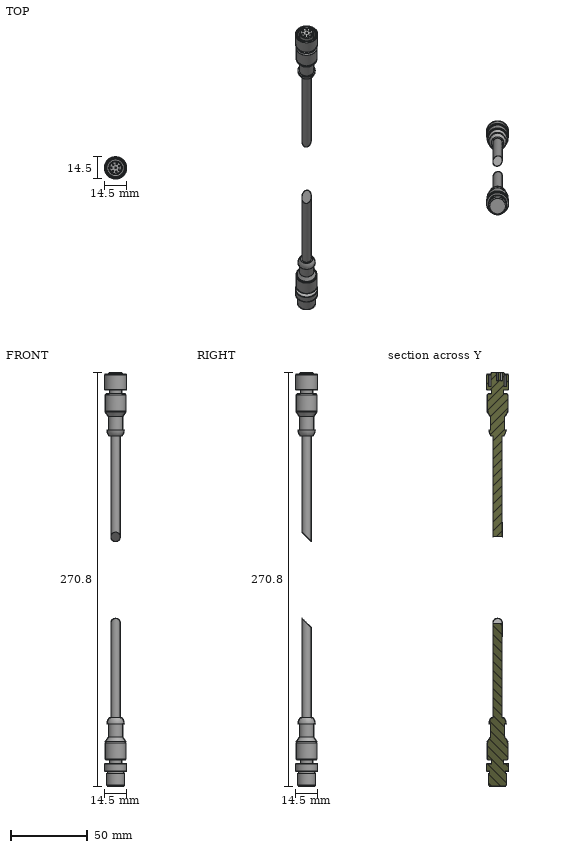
import cadquery as cq
import math

TOTAL_LENGTH = 270.8

CABLE_DIA = 6.2
SOCKET_CABLE_END = 110.8
PLUG_CABLE_END = 110.0

SOCKET_GRIP_START = 13.8
PLUG_GRIP_START = 17.0
NECK_DIA = 8.0
GRIP_DIA = 13.8
GRIP_LENGTH = 12.2
GRIP_CHAMFER = 0.8
SHOULDER_DIA = 13.5
SHOULDER_LENGTH = 3.0
SLEEVE_DIA = 9.5
COLLAR_OFFSET = 23.8
COLLAR_DIA = 11.5
COLLAR_LENGTH = 4.0
COLLAR_TAIL_DIA = 8.0

NUT_DIA = 14.5
NUT_START = 1.0
NUT_END = 11.6
NUT_CHAMFER = 0.5
NUT_BORE_DIA = 11.5
NUT_BORE_DEPTH = 8.0

INSERT_DIA = 9.0
INSERT_CHAMFER = 0.5
CONTACT_DIA = 1.0
CONTACT_DEPTH = 5.5
CONTACT_CIRCLE_DIA = 5.5
OUTER_CONTACTS = 7
FIRST_CONTACT_ANGLE = -76.0

RING_DIA = 14.5
RING_START = 9.7
RING_END = 15.0
RING_CHAMFER = 0.3
RELIEF_DIA = 10.8
RELIEF_LENGTH = 1.4
NOSE_DIA = 12.0
NOSE_CHAMFER = 0.8


def cylinder(dia, start, end):
    """Cylinder on the Z axis from `start` to `end`."""
    return cq.Workplane("XY").workplane(offset=start).circle(dia / 2).extrude(end - start)


def cable(start, end):
    """Cable from `start` to a 45 degree cut that is longest on the -Y side."""
    radius = CABLE_DIA / 2
    side_outline = (
        cq.Workplane("YZ")
        .moveTo(-radius, start)
        .lineTo(radius, start)
        .lineTo(radius, end - CABLE_DIA)
        .lineTo(-radius, end)
        .close()
    )
    return side_outline.extrude(radius, both=True).intersect(cylinder(CABLE_DIA, start, end))


def collar_arc_middle(start):
    """Middle of the collar's arc, which leaves the collar's front edge parallel to the axis."""
    depth = (COLLAR_DIA - COLLAR_TAIL_DIA) / 2
    arc_radius = (COLLAR_LENGTH**2 + depth**2) / (2 * depth)
    half_angle = math.asin(COLLAR_LENGTH / arc_radius) / 2
    return (
        COLLAR_DIA / 2 - arc_radius * (1 - math.cos(half_angle)),
        start + arc_radius * math.sin(half_angle),
    )


def rear_part(neck_start, grip_start, cable_end):
    """Neck, chamfered grip, conical shoulder, sleeve, rounded collar and cable."""
    grip_end = grip_start + GRIP_LENGTH
    collar_start = grip_start + COLLAR_OFFSET
    collar_end = collar_start + COLLAR_LENGTH
    core = (
        cq.Workplane("XZ")
        .moveTo(0, neck_start)
        .lineTo(NECK_DIA / 2, neck_start)
        .lineTo(NECK_DIA / 2, grip_end)
        .lineTo(SHOULDER_DIA / 2, grip_end)
        .lineTo(SLEEVE_DIA / 2, grip_end + SHOULDER_LENGTH)
        .lineTo(SLEEVE_DIA / 2, collar_start)
        .lineTo(COLLAR_DIA / 2, collar_start)
        .threePointArc(collar_arc_middle(collar_start), (COLLAR_TAIL_DIA / 2, collar_end))
        .lineTo(0, collar_end)
        .close()
        .revolve(360, (0, 0, 0), (0, 1, 0))
    )
    grip = cylinder(GRIP_DIA, grip_start, grip_end).faces("<Z or >Z").chamfer(GRIP_CHAMFER)
    return core.union(grip).union(cable(collar_end, cable_end))


def coupling_nut(bore_floor):
    """Nut with an open bore around the insert; all its end edges are chamfered."""
    return (
        cylinder(NUT_DIA, NUT_START, NUT_END)
        .cut(cylinder(NUT_BORE_DIA, NUT_START, bore_floor))
        .faces("<Z or >Z")
        .chamfer(NUT_CHAMFER)
    )


def contact_insert(bore_floor):
    """Chamfered insert with its contact holes."""
    angles = [
        math.radians(FIRST_CONTACT_ANGLE + i * 360 / OUTER_CONTACTS) for i in range(OUTER_CONTACTS)
    ]
    circle_radius = CONTACT_CIRCLE_DIA / 2
    places = [(0, 0)] + [(circle_radius * math.cos(a), circle_radius * math.sin(a)) for a in angles]
    holes = cq.Workplane("XY").pushPoints(places).circle(CONTACT_DIA / 2).extrude(CONTACT_DEPTH)
    return cylinder(INSERT_DIA, 0, bore_floor).faces("<Z").chamfer(INSERT_CHAMFER).cut(holes)


def make_socket():
    """Upper half, turned over so that its mating end is the top of the part."""
    bore_floor = NUT_START + NUT_BORE_DEPTH
    upright = (
        rear_part(bore_floor, SOCKET_GRIP_START, SOCKET_CABLE_END)
        .union(coupling_nut(bore_floor))
        .union(contact_insert(bore_floor))
    )
    return upright.rotate((0, 0, 0), (1, 0, 0), 180).translate((0, 0, TOTAL_LENGTH))


def make_plug():
    """Lower half, with its nose at the bottom of the part."""
    nose_end = RING_START - RELIEF_LENGTH
    nose = cylinder(NOSE_DIA, 0, nose_end).faces("<Z").chamfer(NOSE_CHAMFER)
    relief = cylinder(RELIEF_DIA, nose_end, RING_START)
    ring = cylinder(RING_DIA, RING_START, RING_END).faces("<Z or >Z").chamfer(RING_CHAMFER)
    rear = rear_part(RING_START, PLUG_GRIP_START, PLUG_CABLE_END)
    return rear.union(ring).union(relief).union(nose)


socket = make_socket()
plug = make_plug()

result = cq.Compound.makeCompound([socket.val(), plug.val()])